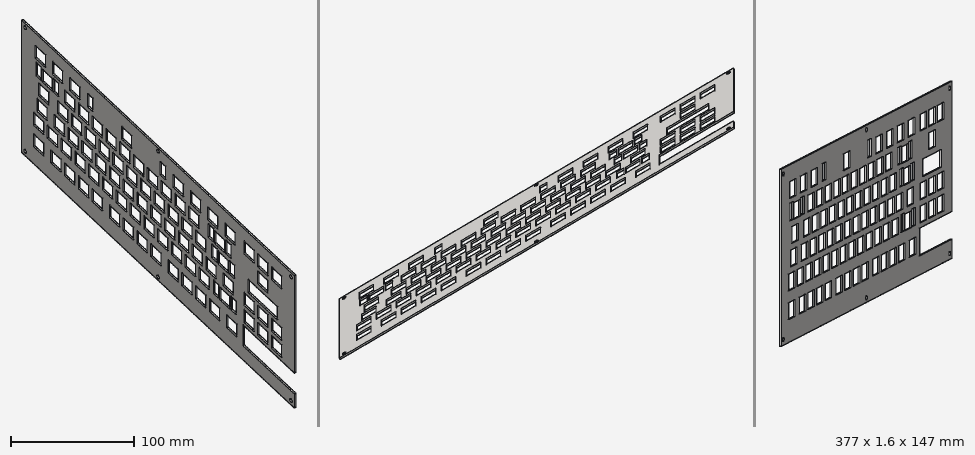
import cadquery as cq


plate_width = 377.0
plate_height = 147.0
plate_thickness = 1.6

key_block_width = 285.8
quarters_per_key = 4
keys_per_row = 15
key_pitch = key_block_width / keys_per_row
quarter = key_pitch / quarters_per_key
key_block_left = -plate_width / 2 + 14.0
function_row_z = -plate_height / 2 + 26.0
function_row_gap = quarter
number_row_z = function_row_z + key_pitch + function_row_gap
nav_block_gap = quarter
nav_block_left = key_block_left + key_block_width + nav_block_gap
nav_block_keys = 3
nav_block_center = nav_block_left + nav_block_keys * key_pitch / 2

switch_size = 14.0
stabilizer_width = 7.0
stabilizer_height = 14.7
stabilizer_rise = 0.8
short_stabilizer_offset = 12.0
space_bar_stabilizer_offset = 50.0
stabilized_quarters = 2 * quarters_per_key
space_bar_quarters = 25

window_width = 40.5
window_height = 14.7
window_drop = 0.5
notch_depth = 71.3
notch_height = 23.0
notch_bottom = -plate_height / 2 + 16.0

hole_diameter = 3.5
corner_hole_inset = 5.0
middle_hole_inset = 3.8

number_row = [quarters_per_key] * 13 + [8]
tab_row = [6] + [quarters_per_key] * 12 + [6]
caps_row = [7] + [quarters_per_key] * 11 + [9]
shift_row = [9] + [quarters_per_key] * 10 + [11]
space_row = [5] * 3 + [space_bar_quarters] + [5] * 4
main_rows = [number_row, tab_row, caps_row, shift_row, space_row]

nav_rows = [[0, 1, 2], [0, 1, 2], [], [1], [0, 1, 2]]

function_groups = [1, 4, 4, 4, 1]


def row_z(index):
    """Height of a row's center, counted upward from the number row."""
    return number_row_z + index * key_pitch


def key_positions():
    """Return the center and the width in quarters of every key."""
    keys = []

    left = key_block_left
    for group_size in function_groups:
        for _ in range(group_size):
            keys.append((left + key_pitch / 2, function_row_z, quarters_per_key))
            left += key_pitch
        left += quarter

    for index, widths in enumerate(main_rows):
        left = key_block_left
        for width in widths:
            keys.append((left + width * quarter / 2, row_z(index), width))
            left += width * quarter

    for index, columns in enumerate(nav_rows):
        for column in columns:
            keys.append((nav_block_left + (column + 0.5) * key_pitch, row_z(index), quarters_per_key))

    return keys


def stabilizer_positions(keys):
    """Return the centers of the stabilizer openings on both sides of each wide key."""
    positions = []
    for x, z, width in keys:
        if width < stabilized_quarters:
            continue
        is_space_bar = width == space_bar_quarters
        offset = space_bar_stabilizer_offset if is_space_bar else short_stabilizer_offset
        for side in (-1, 1):
            positions.append((x + side * offset, z + stabilizer_rise))
    return positions


def hole_positions():
    """Return the mounting hole centers: four corners and the middle of both long edges."""
    corner_x = plate_width / 2 - corner_hole_inset
    corner_z = plate_height / 2 - corner_hole_inset
    middle_z = plate_height / 2 - middle_hole_inset
    positions = []
    for side in (-1, 1):
        positions += [(-corner_x, side * corner_z), (0, side * middle_z), (corner_x, side * corner_z)]
    return positions


def front_plane():
    """Sketch plane on the -Y face of the plate: local x is X, local y is Z."""
    return cq.Workplane("XZ", origin=(0, -plate_thickness / 2, 0))


def rect_cutters(centers, width, height):
    """Rectangular prisms through the plate at the given centers."""
    return front_plane().pushPoints(centers).rect(width, height).extrude(-plate_thickness)


keys = key_positions()
switch_centers = [(x, z) for x, z, _ in keys]
window_center = (nav_block_center, row_z(main_rows.index(caps_row)) - window_drop)
notch_center = (plate_width / 2 - notch_depth / 2, notch_bottom + notch_height / 2)

plate = cq.Workplane("XY").box(plate_width, plate_thickness, plate_height)
plate = plate.cut(rect_cutters(switch_centers, switch_size, switch_size))
plate = plate.cut(rect_cutters(stabilizer_positions(keys), stabilizer_width, stabilizer_height))
plate = plate.cut(rect_cutters([window_center], window_width, window_height))
plate = plate.cut(rect_cutters([notch_center], notch_depth, notch_height))

holes = front_plane().pushPoints(hole_positions()).circle(hole_diameter / 2).extrude(-plate_thickness)
result = plate.cut(holes)